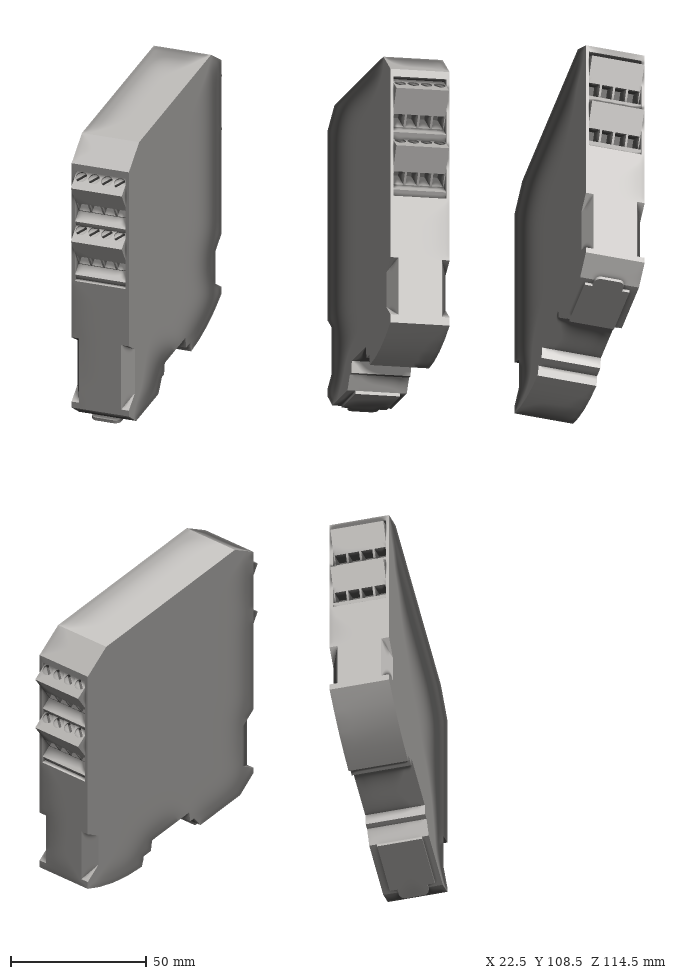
import math

import cadquery as cq

HOUSING_WIDTH = 22.5
HOUSING_DEPTH = 100.0
TOTAL_HEIGHT = 114.5
FACE_TILT = 33.0

TOP_CHAMFER_DEPTH = 11.2
FOOT_THICKNESS = 1.2

RAIL_CEILING_Z = 10.8
RAIL_LEDGE_Z = 6.4
RAIL_HALF_CEILING = 11.15
RAIL_HALF_OPENING = 11.9

REAR_CORNER_Z = 10.8
REAR_HOOK_Y = 16.5
REAR_HOOK_UPPER_Z = 4.6
REAR_TOE_Y = 17.4
REAR_TOE_Z = 2.35
REAR_ARC_SAG = 1.85
FRONT_LEDGE_Y = -14.2
FRONT_HEEL_Y = -18.0
FRONT_TOE_Y = -42.0
FRONT_CORNER_Z = 6.7

GRIP_DEPTH = 6.5
GRIP_WIDTH = 3.0
GRIP_TOP_Z = 35.6
GRIP_FRONT_BOTTOM_Z = 9.1
GRIP_REAR_BOTTOM_Z = 13.9

FOOT_WIDTH = 17.0
FOOT_CENTER_X = -0.25
FOOT_SHOULDER_Y = -39.7
FOOT_TAB_WIDTH = 11.3
FOOT_TAB_END_Y = -44.4
FOOT_TAB_RADIUS = 2.4

TERMINAL_SPAN_Y = 108.49
TERMINAL_WIDTH = 20.0
TERMINAL_TIP_Z = 99.05
TERMINAL_PITCH_Z = 21.86
TERMINAL_TIERS = 2
TERMINAL_FACE = 15.65
TERMINAL_STEP = 4.75
TERMINAL_BODY = 24.0
TERMINAL_STEP_HEIGHT = 8.0

WINDOW_BOTTOM_Z = 59.0
WINDOW_TOP_Z = 104.4
WINDOW_BACK = 14.0

POLES = 4
POLE_PITCH = 5.0
WIRE_HOLE_WIDTH = 4.2
WIRE_HOLE_HEIGHT = 5.0
WIRE_HOLE_DEPTH = 10.0
WIRE_HOLE_CLEARANCE = 0.45
SCREW_DIAMETER = 4.3
SCREW_SETBACK = 5.4
SCREW_RECESS = 0.5
SLOT_WIDTH = 1.0
SLOT_DEPTH = 1.5
SLOT_ANGLE = 45.0

TILT = math.radians(FACE_TILT)
HALF_WIDTH = HOUSING_WIDTH / 2
HALF_DEPTH = HOUSING_DEPTH / 2
POLE_POSITIONS = [(i - (POLES - 1) / 2) * POLE_PITCH for i in range(POLES)]


def extrude_across(sketch, width):
    """Extrude a closed YZ outline symmetrically about X = 0."""
    return sketch.close().extrude(width / 2, both=True)


def make_housing():
    chamfer_height = TOP_CHAMFER_DEPTH * math.tan(TILT)
    outline = (
        cq.Workplane("YZ")
        .moveTo(-HALF_DEPTH, FRONT_CORNER_Z)
        .lineTo(-HALF_DEPTH, TOTAL_HEIGHT - chamfer_height)
        .lineTo(-HALF_DEPTH + TOP_CHAMFER_DEPTH, TOTAL_HEIGHT)
        .lineTo(HALF_DEPTH - TOP_CHAMFER_DEPTH, TOTAL_HEIGHT)
        .lineTo(HALF_DEPTH, TOTAL_HEIGHT - chamfer_height)
        .lineTo(HALF_DEPTH, REAR_CORNER_Z)
        .sagittaArc((REAR_TOE_Y, REAR_TOE_Z), REAR_ARC_SAG)
        .lineTo(REAR_HOOK_Y, REAR_HOOK_UPPER_Z)
        .lineTo(REAR_HOOK_Y, RAIL_LEDGE_Z)
        .lineTo(RAIL_HALF_OPENING, RAIL_LEDGE_Z)
        .lineTo(RAIL_HALF_CEILING, RAIL_CEILING_Z)
        .lineTo(-RAIL_HALF_CEILING, RAIL_CEILING_Z)
        .lineTo(-RAIL_HALF_OPENING, RAIL_LEDGE_Z)
        .lineTo(FRONT_LEDGE_Y, RAIL_LEDGE_Z)
        .lineTo(FRONT_HEEL_Y, FOOT_THICKNESS)
        .lineTo(FRONT_TOE_Y, FOOT_THICKNESS)
    )
    return extrude_across(outline, HOUSING_WIDTH)


def make_foot_plate():
    tab_corner_y = FOOT_TAB_END_Y + FOOT_TAB_RADIUS
    half_tab = FOOT_TAB_WIDTH / 2
    half_end = half_tab - FOOT_TAB_RADIUS
    half_foot = FOOT_WIDTH / 2
    return (
        cq.Workplane("XY")
        .moveTo(-half_foot, FRONT_HEEL_Y)
        .lineTo(-half_foot, FOOT_SHOULDER_Y)
        .lineTo(-half_tab, FOOT_SHOULDER_Y)
        .lineTo(-half_tab, tab_corner_y)
        .radiusArc((-half_end, FOOT_TAB_END_Y), -FOOT_TAB_RADIUS)
        .lineTo(half_end, FOOT_TAB_END_Y)
        .radiusArc((half_tab, tab_corner_y), -FOOT_TAB_RADIUS)
        .lineTo(half_tab, FOOT_SHOULDER_Y)
        .lineTo(half_foot, FOOT_SHOULDER_Y)
        .lineTo(half_foot, FRONT_HEEL_Y)
        .close()
        .extrude(FOOT_THICKNESS)
        .translate((FOOT_CENTER_X, 0, 0))
    )


def make_grip_pair(bottom_z):
    """Notch cutters for both edges of the -Y face: slanted floor, sloping ends."""
    end_rise = GRIP_DEPTH * math.tan(TILT)
    inner_y = -HALF_DEPTH + GRIP_DEPTH
    side_outline = (
        cq.Workplane("YZ")
        .moveTo(-HALF_DEPTH, bottom_z)
        .lineTo(inner_y, bottom_z + end_rise)
        .lineTo(inner_y, GRIP_TOP_Z - end_rise)
        .lineTo(-HALF_DEPTH, GRIP_TOP_Z)
    )
    trapezoid = extrude_across(side_outline, HOUSING_WIDTH)
    corner = (
        cq.Workplane("XY")
        .moveTo(HALF_WIDTH, -HALF_DEPTH)
        .lineTo(HALF_WIDTH - GRIP_WIDTH, -HALF_DEPTH)
        .lineTo(HALF_WIDTH, inner_y)
        .close()
        .extrude(TOTAL_HEIGHT)
    )
    grip = trapezoid.intersect(corner)
    return grip.union(grip.mirror("YZ"))


def make_window(outward):
    """Window volume in the -Y face, stretched outward past the housing face."""
    height = WINDOW_TOP_Z - WINDOW_BOTTOM_Z
    return (
        cq.Workplane("XY")
        .box(TERMINAL_WIDTH, WINDOW_BACK + outward, height, centered=(True, False, False))
        .translate((0, -HALF_DEPTH - outward, WINDOW_BOTTOM_Z))
    )


def make_screw_recess():
    """Sunken slotted screw head; the terminal top face is Z = 0."""
    slot_bottom = SCREW_RECESS + SLOT_DEPTH
    recess = cq.Workplane("XY").circle(SCREW_DIAMETER / 2).extrude(-SCREW_RECESS)
    slot = (
        cq.Workplane("XY")
        .rect(SCREW_DIAMETER, SLOT_WIDTH)
        .extrude(-slot_bottom)
        .rotate((0, 0, 0), (0, 0, 1), SLOT_ANGLE)
    )
    slot_limit = cq.Workplane("XY").circle(SCREW_DIAMETER / 2).extrude(-slot_bottom)
    return recess.union(slot.intersect(slot_limit))


def make_terminal(tip_z):
    """One terminal row on the -Y side, built level with its tip at the origin, then tilted."""
    outline = (
        cq.Workplane("YZ")
        .moveTo(0, 0)
        .lineTo(TERMINAL_BODY, 0)
        .lineTo(TERMINAL_BODY, -TERMINAL_FACE - TERMINAL_STEP_HEIGHT)
        .lineTo(-TERMINAL_STEP, -TERMINAL_FACE - TERMINAL_STEP_HEIGHT)
        .lineTo(-TERMINAL_STEP, -TERMINAL_FACE)
        .lineTo(0, -TERMINAL_FACE)
    )
    terminal = extrude_across(outline, TERMINAL_WIDTH)
    screw = make_screw_recess()
    wire_hole = (
        cq.Workplane("XY")
        .box(WIRE_HOLE_WIDTH, WIRE_HOLE_DEPTH, WIRE_HOLE_HEIGHT, centered=(True, False, False))
        .translate((0, 0, WIRE_HOLE_CLEARANCE - TERMINAL_FACE))
    )
    for x in POLE_POSITIONS:
        terminal = terminal.cut(screw.translate((x, SCREW_SETBACK, 0)))
        terminal = terminal.cut(wire_hole.translate((x, 0, 0)))
    tilted = terminal.rotate((0, 0, 0), (1, 0, 0), FACE_TILT)
    return tilted.translate((0, -TERMINAL_SPAN_Y / 2, tip_z))


def make_terminal_stack():
    """All terminal rows of the -Y side, trimmed to the window."""
    overhang = TERMINAL_SPAN_Y / 2 - HALF_DEPTH
    stack = make_terminal(TERMINAL_TIP_Z)
    for tier in range(1, TERMINAL_TIERS):
        stack = stack.union(make_terminal(TERMINAL_TIP_Z - tier * TERMINAL_PITCH_Z))
    return stack.intersect(make_window(overhang))


housing = make_housing()
housing = housing.cut(make_grip_pair(GRIP_FRONT_BOTTOM_Z))
housing = housing.cut(make_grip_pair(GRIP_REAR_BOTTOM_Z).mirror("XZ"))

window = make_window(0)
terminals = make_terminal_stack()
housing = housing.cut(window).cut(window.mirror("XZ"))
housing = housing.union(terminals).union(terminals.mirror("XZ"))

result = housing.union(make_foot_plate())